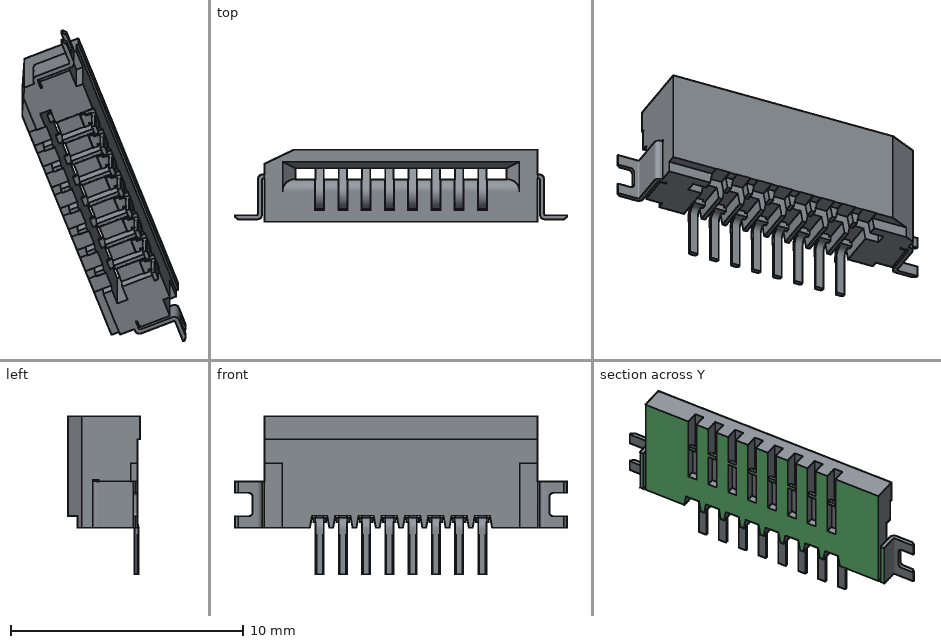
import cadquery as cq
import math


BODY_LENGTH = 11.75
BODY_DEPTH = 3.1
BODY_HEIGHT = 4.8
LIP_HEIGHT = 1.0
FRONT_SETBACK = 0.1
REAR_STEP_DEPTH = 0.4
REAR_STEP_HEIGHT = 0.5
KEY_CHAMFER_X = 1.26
KEY_CHAMFER_Y = 0.6
CORNER_WIDTH = 0.77
CORNER_HEIGHT = 2.79
CORNER_BACK = 0.4

MOUTH_LENGTH = 10.2
MOUTH_FRONT = 1.32
MOUTH_REAR = 2.59
THROAT_LENGTH = 9.08
THROAT_FRONT = 1.83
THROAT_REAR = 2.3
BEVEL_DEPTH = 0.56
ENTRY_RADIUS = THROAT_FRONT - MOUTH_FRONT

CONTACT_COUNT = 8
PITCH = 1.0
CONTACT_WIDTH = 0.37
CONTACT_THICKNESS = 0.19
PIN_FRONT = 0.06
PIN_LENGTH = 2.0
PIN_BEND_BOTTOM = -0.05
LEG_TOP = 0.43
SHOULDER_WIDTH = 0.56
PIN_EDGE_CHAMFER = 0.06
PIN_CHAMFER_TOP = -0.29
POST_FRONT = 0.57
CREST_RADIUS = 0.61
CREST_TOP = 3.43
SPRING_SLOPE = 25.0
SPRING_TIP_Y = 2.46

SLOT_WIDTH = 0.4
SLOT_FRONT = 0.5
SLOT_FLOOR = 1.72
COMB_HEIGHT = 0.51
COMB_TOP_WIDTH = 0.65
COMB_BOTTOM_WIDTH = 0.83

TAB_SPAN = 14.3
TAB_HEIGHT = 2.0
TAB_THICKNESS = 0.19
TAB_FRONT = 0.1
TAB_REAR = 2.05
TAB_OUTER_X = 6.16
TAB_ROOT_X = 5.36
TAB_BEND_RADIUS = 0.21
TAB_INNER_RADIUS = 0.06
TAB_TIP_X = 0.15
TAB_TIP_Y = 0.11
NOTCH_BOTTOM = 0.5
NOTCH_TOP = 1.5
NOTCH_END_X = 6.39
NOTCH_RADIUS = 0.17
ANCHOR_SLOT_FRONT = 1.79
ANCHOR_SLOT_HEIGHT = 2.07
ANCHOR_SLOT_DEPTH = 0.29

HALF_BODY = BODY_LENGTH / 2
ARC_MIDPOINT = math.sqrt(0.5)
contact_positions = [(i - (CONTACT_COUNT - 1) / 2) * PITCH for i in range(CONTACT_COUNT)]


def block(x0, x1, y0, y1, z0, z1):
    """Box between two opposite corners."""
    return cq.Workplane("XY").box(x1 - x0, y1 - y0, z1 - z0, centered=False).translate((x0, y0, z0))


def side_profile(width):
    """YZ sketch plane whose extrusion by `width` is centred on X = 0."""
    return cq.Workplane("YZ", origin=(-width / 2, 0, 0))


def make_housing():
    step_y = BODY_DEPTH - REAR_STEP_DEPTH
    lip_z = BODY_HEIGHT - LIP_HEIGHT
    body = (
        side_profile(BODY_LENGTH)
        .moveTo(0, BODY_HEIGHT)
        .lineTo(0, lip_z)
        .lineTo(FRONT_SETBACK, lip_z)
        .lineTo(FRONT_SETBACK, 0)
        .lineTo(step_y, 0)
        .lineTo(step_y, REAR_STEP_HEIGHT)
        .lineTo(BODY_DEPTH, REAR_STEP_HEIGHT)
        .lineTo(BODY_DEPTH, BODY_HEIGHT)
        .close()
        .extrude(BODY_LENGTH)
    )
    key = (
        cq.Workplane("XY")
        .moveTo(-HALF_BODY, BODY_DEPTH)
        .lineTo(-HALF_BODY + KEY_CHAMFER_X, BODY_DEPTH)
        .lineTo(-HALF_BODY, BODY_DEPTH - KEY_CHAMFER_Y)
        .close()
        .extrude(BODY_HEIGHT)
    )
    inner_x = HALF_BODY - CORNER_WIDTH
    right_rebate = block(inner_x, HALF_BODY, 0, CORNER_BACK, 0, CORNER_HEIGHT)
    left_rebate = right_rebate.mirror("YZ")
    return body.cut(key).cut(right_rebate).cut(left_rebate)


def make_opening():
    """Through slot whose ends and rear wall slope, and whose front edge is rounded."""
    bevel_z = BODY_HEIGHT - BEVEL_DEPTH
    throat = block(
        -THROAT_LENGTH / 2, THROAT_LENGTH / 2, THROAT_FRONT, THROAT_REAR, 0, BODY_HEIGHT
    )
    ends = (
        cq.Workplane("XZ")
        .moveTo(-MOUTH_LENGTH / 2, BODY_HEIGHT)
        .lineTo(MOUTH_LENGTH / 2, BODY_HEIGHT)
        .lineTo(THROAT_LENGTH / 2, bevel_z)
        .lineTo(-THROAT_LENGTH / 2, bevel_z)
        .close()
        .extrude(-BODY_DEPTH)
    )
    reach = ENTRY_RADIUS * ARC_MIDPOINT
    section = (
        side_profile(MOUTH_LENGTH)
        .moveTo(MOUTH_FRONT, BODY_HEIGHT)
        .threePointArc(
            (MOUTH_FRONT + reach, BODY_HEIGHT - ENTRY_RADIUS + reach),
            (THROAT_FRONT, BODY_HEIGHT - ENTRY_RADIUS),
        )
        .lineTo(THROAT_FRONT, bevel_z)
        .lineTo(THROAT_REAR, bevel_z)
        .lineTo(MOUTH_REAR, BODY_HEIGHT)
        .close()
        .extrude(MOUTH_LENGTH)
    )
    return throat.union(ends.intersect(section))


def make_contact_slot():
    return block(-SLOT_WIDTH / 2, SLOT_WIDTH / 2, SLOT_FRONT, THROAT_FRONT, SLOT_FLOOR, BODY_HEIGHT)


def make_comb_notch():
    return (
        cq.Workplane("XZ")
        .moveTo(-COMB_BOTTOM_WIDTH / 2, 0)
        .lineTo(COMB_BOTTOM_WIDTH / 2, 0)
        .lineTo(COMB_TOP_WIDTH / 2, COMB_HEIGHT)
        .lineTo(-COMB_TOP_WIDTH / 2, COMB_HEIGHT)
        .close()
        .extrude(-BODY_DEPTH)
    )


def make_contact():
    """Bent strip: pin, bend, horizontal leg, upright post, rounded crest and spring arm."""
    thick = CONTACT_THICKNESS
    bend_radius = LEG_TOP - PIN_BEND_BOTTOM
    bend_y = PIN_FRONT + bend_radius
    post_rear = POST_FRONT + thick

    def bend_point(radius):
        reach = radius * ARC_MIDPOINT
        return (bend_y - reach, PIN_BEND_BOTTOM + reach)

    slope = math.radians(SPRING_SLOPE)
    crest_y = POST_FRONT + CREST_RADIUS
    crest_z = CREST_TOP - CREST_RADIUS

    def crest_point(radius, angle):
        return (crest_y + radius * math.sin(angle), crest_z + radius * math.cos(angle))

    def spring_tip(radius):
        y, z = crest_point(radius, slope)
        return (SPRING_TIP_Y, z - (SPRING_TIP_Y - y) * math.tan(slope))

    inner_bend = bend_radius - thick
    inner_crest = CREST_RADIUS - thick
    mid_crest = (slope - math.pi / 2) / 2
    strip = (
        side_profile(CONTACT_WIDTH)
        .moveTo(PIN_FRONT, -PIN_LENGTH)
        .lineTo(PIN_FRONT, PIN_BEND_BOTTOM)
        .threePointArc(bend_point(bend_radius), (bend_y, LEG_TOP))
        .lineTo(POST_FRONT, LEG_TOP)
        .lineTo(POST_FRONT, crest_z)
        .threePointArc(crest_point(CREST_RADIUS, mid_crest), crest_point(CREST_RADIUS, slope))
        .lineTo(*spring_tip(CREST_RADIUS))
        .lineTo(*spring_tip(inner_crest))
        .lineTo(*crest_point(inner_crest, slope))
        .threePointArc(crest_point(inner_crest, mid_crest), (post_rear, crest_z))
        .lineTo(post_rear, LEG_TOP - thick)
        .lineTo(bend_y, LEG_TOP - thick)
        .threePointArc(bend_point(inner_bend), (PIN_FRONT + thick, PIN_BEND_BOTTOM))
        .lineTo(PIN_FRONT + thick, -PIN_LENGTH)
        .close()
        .extrude(CONTACT_WIDTH)
    )
    shoulder = block(
        -SHOULDER_WIDTH / 2, SHOULDER_WIDTH / 2, bend_y, post_rear, LEG_TOP - thick, LEG_TOP
    )
    right_edge = (
        cq.Workplane("XY", origin=(0, 0, -PIN_LENGTH))
        .moveTo(CONTACT_WIDTH / 2, PIN_FRONT)
        .lineTo(CONTACT_WIDTH / 2 - PIN_EDGE_CHAMFER, PIN_FRONT)
        .lineTo(CONTACT_WIDTH / 2, PIN_FRONT + PIN_EDGE_CHAMFER)
        .close()
        .extrude(PIN_LENGTH + PIN_CHAMFER_TOP)
    )
    return strip.union(shoulder).cut(right_edge).cut(right_edge.mirror("YZ"))


def make_tab():
    """Right-hand solder tab: anchor into the housing, side plate and forked foot."""
    tip_x = TAB_SPAN / 2
    plate_inner = TAB_OUTER_X - TAB_THICKNESS
    foot_rear = TAB_FRONT + TAB_THICKNESS
    anchor_front = TAB_REAR - TAB_THICKNESS
    tab = (
        cq.Workplane("XY")
        .moveTo(TAB_ROOT_X, TAB_REAR)
        .lineTo(TAB_OUTER_X, TAB_REAR)
        .lineTo(TAB_OUTER_X, foot_rear)
        .lineTo(tip_x, foot_rear)
        .lineTo(tip_x, TAB_FRONT + TAB_TIP_Y)
        .lineTo(tip_x - TAB_TIP_X, TAB_FRONT)
        .lineTo(plate_inner, TAB_FRONT)
        .lineTo(plate_inner, anchor_front)
        .lineTo(TAB_ROOT_X, anchor_front)
        .close()
        .extrude(TAB_HEIGHT)
    )

    def vertical_edge(x, y):
        return cq.selectors.NearestToPointSelector((x, y, TAB_HEIGHT / 2))

    for x, y in ((TAB_OUTER_X, TAB_REAR), (plate_inner, TAB_FRONT)):
        tab = tab.edges(vertical_edge(x, y)).fillet(TAB_BEND_RADIUS)
    for x, y in ((plate_inner, anchor_front), (TAB_OUTER_X, foot_rear)):
        tab = tab.edges(vertical_edge(x, y)).fillet(TAB_INNER_RADIUS)

    fork = block(NOTCH_END_X, tip_x, 0, CORNER_BACK, NOTCH_BOTTOM, NOTCH_TOP)
    fork = fork.edges("|Y and <X").fillet(NOTCH_RADIUS)
    return tab.cut(fork)


def make_anchor_slot():
    return block(
        HALF_BODY - ANCHOR_SLOT_DEPTH, HALF_BODY,
        ANCHOR_SLOT_FRONT, TAB_REAR,
        0, ANCHOR_SLOT_HEIGHT,
    )


result = make_housing().cut(make_opening())

contact_slot = make_contact_slot()
comb_notch = make_comb_notch()
for x in contact_positions:
    result = result.cut(contact_slot.translate((x, 0, 0)))
    result = result.cut(comb_notch.translate((x, 0, 0)))

contact = make_contact()
for x in contact_positions:
    result = result.union(contact.translate((x, 0, 0)))

anchor_slot = make_anchor_slot()
tab = make_tab()
result = result.cut(anchor_slot).cut(anchor_slot.mirror("YZ"))
result = result.union(tab).union(tab.mirror("YZ"))